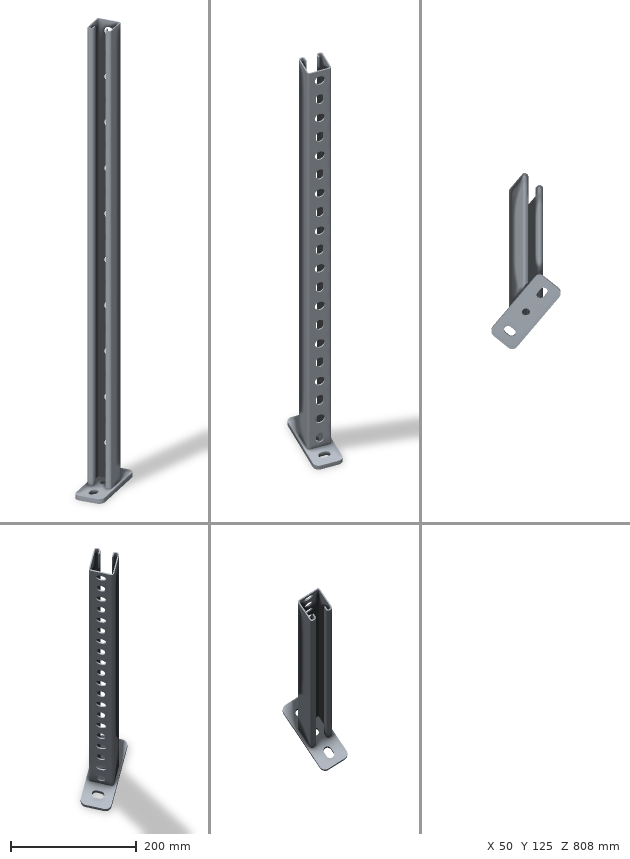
import cadquery as cq

total_height = 808.0
plate_width = 50.0
plate_length = 125.0
plate_thickness = 8.0
plate_corner_radius = 10.0

plate_hole_width = 13.0
plate_slot_length = 20.0
plate_slot_offset = 40.0

channel_size = 41.0
channel_wall = 2.0
lip_depth = 10.5
lip_height = 10.0
bend_radius = 4.0
channel_height = total_height - plate_thickness

hole_pairs = 10
hole_pitch = channel_height / (2 * hole_pairs)
round_hole_diameter = 17.0
web_slot_width = 13.0
web_slot_length = 20.0


def make_base_plate():
    """Rounded plate with a centre hole and two slots set square to each other."""
    plate = (
        cq.Workplane("XY")
        .rect(plate_width, plate_length)
        .extrude(plate_thickness)
        .edges("|Z")
        .fillet(plate_corner_radius)
    )
    holes = (
        cq.Workplane("XY")
        .circle(plate_hole_width / 2)
        .extrude(plate_thickness)
    )
    for slot_y, slot_angle in ((plate_slot_offset, 0), (-plate_slot_offset, 90)):
        slot = (
            cq.Workplane("XY")
            .center(0, slot_y)
            .slot2D(plate_slot_length, plate_hole_width, slot_angle)
            .extrude(plate_thickness)
        )
        holes = holes.union(slot)
    return plate.cut(holes)


def make_plain_channel():
    """Channel with its web at +Y and two lips turned back into it at -Y."""
    half = channel_size / 2
    inner = half - channel_wall
    lip_tip = -half + lip_height
    wall_bend_x = half - bend_radius
    lip_bend_x = half - lip_depth + bend_radius
    front_bend_y = -half + bend_radius
    inner_bend_radius = bend_radius - channel_wall
    lip_outer = half - lip_depth
    lip_inner = lip_outer + channel_wall
    half_channel = (
        cq.Workplane("XY", origin=(0, 0, plate_thickness))
        .moveTo(0, half)
        .lineTo(wall_bend_x, half)
        .radiusArc((half, half - bend_radius), bend_radius)
        .lineTo(half, front_bend_y)
        .radiusArc((wall_bend_x, -half), bend_radius)
        .lineTo(lip_bend_x, -half)
        .radiusArc((lip_outer, front_bend_y), bend_radius)
        .lineTo(lip_outer, lip_tip)
        .lineTo(lip_inner, lip_tip)
        .lineTo(lip_inner, front_bend_y)
        .radiusArc((lip_bend_x, -inner), -inner_bend_radius)
        .lineTo(wall_bend_x, -inner)
        .radiusArc((inner, front_bend_y), -inner_bend_radius)
        .lineTo(inner, half - bend_radius)
        .radiusArc((wall_bend_x, inner), -inner_bend_radius)
        .lineTo(0, inner)
        .close()
        .extrude(channel_height)
    )
    return half_channel.union(half_channel.mirror("YZ"))


def cut_web_holes(channel):
    """Cut slots and round holes in turn through the web, starting with a slot."""
    web_plane = cq.Workplane("XZ", origin=(0, channel_size / 2, plate_thickness))
    pair_pitch = 2 * hole_pitch
    slot_centres = [(0, hole_pitch / 2 + i * pair_pitch) for i in range(hole_pairs)]
    round_centres = [(0, z + hole_pitch) for _, z in slot_centres]
    slots = (
        web_plane.pushPoints(slot_centres)
        .slot2D(web_slot_length, web_slot_width, 90)
        .extrude(channel_wall)
    )
    round_holes = (
        web_plane.pushPoints(round_centres)
        .circle(round_hole_diameter / 2)
        .extrude(channel_wall)
    )
    return channel.cut(slots).cut(round_holes)


base_plate = make_base_plate()
channel = cut_web_holes(make_plain_channel())

result = cq.Compound.makeCompound([base_plate.val(), channel.val()])